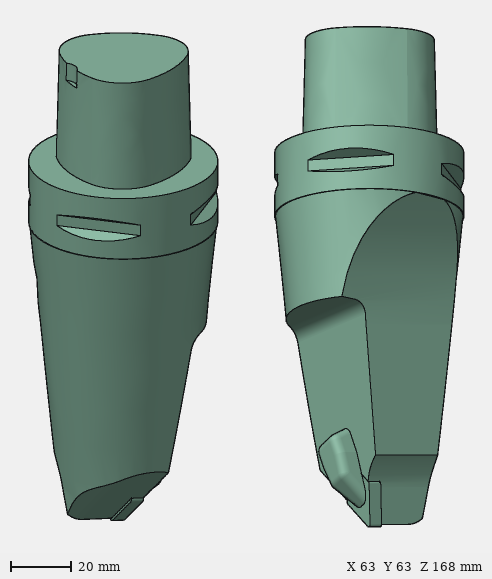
import cadquery as cq
import math


shank_height = 38.0
shank_flat_radius = 20.5
shank_lobe_radius = 23.6
shank_side_arc_radius = 38.8
shank_taper_angle = math.degrees(math.atan(1 / 40))
keyway_radius = 5.4
keyway_depth = 6.2
keyway_inner_y = -18.0

flange_diameter = 63.0
flange_height = 22.0
groove_center_z = -11.75
groove_floor_distance = 27.93
groove_floor_width = 3.8
groove_flare_angle = 30.0
groove_count = 4
groove_first_angle = 45.0

tip_z = -130.0
neck_top_radius = 31.2
neck_half_angle = 5.6
shoulder_z = -57.9
shoulder_fillet = 5.0
end_round_start = 16.0
end_round_radius = 12.0

tilt_angle = 10.0
twist_angle = 2.0
left_edge_angle = 12.5
insert_corner_angle = 55.0
insert_edge_length = 15.5
insert_thickness = 4.76
insert_nose_radius = 0.8
nose_center_u = 0.2
left_relief = 0.7
right_relief = 0.85

face_angle = 7.4
face_top = (-15.1, 65.4)
face_bottom_v = 22.2
tip_face_top_v = 12.8
clearance_arc_radius = 88.0
clearance_arc_sweep = 32.0

clamp_height = 7.3
clamp_front = 9.0
clamp_front_top = 18.5
clamp_shoulder = 26.0
clamp_back_top = 33.3
clamp_back = 36.2
clamp_half_width = 6.0
clamp_front_half_width = 3.5
clamp_edge_fillet = 2.9

reach = 100.0

tilt = math.radians(tilt_angle)
tip_plane = cq.Plane(
    origin=(0, 0, tip_z),
    xDir=(1, 0, 0),
    normal=(0, -math.cos(tilt), math.sin(tilt)),
).rotated((0, twist_angle, 0))


def polar(length, angle):
    """Point at a distance from the origin, the angle in degrees measured from +v toward +u."""
    return (length * math.sin(math.radians(angle)), length * math.cos(math.radians(angle)))


def add(point, offset):
    return (point[0] + offset[0], point[1] + offset[1])


right_edge_angle = insert_corner_angle - left_edge_angle
bisector_angle = (right_edge_angle - left_edge_angle) / 2
corner_to_nose_center = insert_nose_radius / math.sin(math.radians(insert_corner_angle / 2))
insert_corner = add((nose_center_u, insert_nose_radius), polar(-corner_to_nose_center, bisector_angle))


def make_shank():
    """Three shallow arcs joined tangentially by three lobe arcs, tapering upward."""
    side_center = shank_side_arc_radius - shank_flat_radius
    lobe_excess = shank_lobe_radius - shank_flat_radius
    lobe_center = lobe_excess * (2 * side_center - lobe_excess) / (side_center - 2 * lobe_excess)
    lobe_center_x = lobe_center * math.cos(math.radians(30))
    lobe_center_y = lobe_center / 2
    seam_angle = math.atan(lobe_center_x / (side_center + lobe_center_y))
    seam_x = shank_side_arc_radius * math.sin(seam_angle)
    seam_y = side_center - shank_side_arc_radius * math.cos(seam_angle)

    def turned(x, y, angle):
        a = math.radians(angle)
        return (x * math.cos(a) - y * math.sin(a), x * math.sin(a) + y * math.cos(a))

    outline = cq.Workplane("XY").moveTo(-seam_x, seam_y)
    for angle in (0, 120, 240):
        outline = outline.threePointArc(turned(0, -shank_flat_radius, angle), turned(seam_x, seam_y, angle))
        lobe_tip = turned(0, -shank_lobe_radius, angle + 60)
        outline = outline.threePointArc(lobe_tip, turned(-seam_x, seam_y, angle + 120))
    shank = outline.close().extrude(shank_height, taper=shank_taper_angle)
    keyway = (
        cq.Workplane("XY", origin=(0, keyway_inner_y - keyway_radius, shank_height - keyway_depth))
        .circle(keyway_radius)
        .extrude(keyway_depth)
    )
    return shank.cut(keyway)


def make_flange():
    """Disc with flared flat-bottomed grooves cut straight across its rim."""
    flange = cq.Workplane("XY").circle(flange_diameter / 2).extrude(-flange_height)
    depth = flange_diameter / 2 - groove_floor_distance
    half_floor = groove_floor_width / 2
    half_mouth = half_floor + depth * math.tan(math.radians(groove_flare_angle))
    groove = (
        cq.Workplane("XZ", origin=(0, 0, groove_center_z))
        .moveTo(groove_floor_distance, -half_floor)
        .lineTo(flange_diameter / 2, -half_mouth)
        .lineTo(flange_diameter / 2, half_mouth)
        .lineTo(groove_floor_distance, half_floor)
        .close()
        .extrude(flange_diameter / 2, both=True)
    )
    for i in range(groove_count):
        angle = groove_first_angle + i * 360 / groove_count
        flange = flange.cut(groove.rotate((0, 0, 0), (0, 0, 1), angle))
    return flange


def make_end_cutter():
    """Everything beyond the relief face under the right cutting edge, rounded off at its rear."""
    face_point = add(insert_corner, polar(right_relief, right_edge_angle - 90))
    a = math.radians(right_edge_angle)
    across_edge = cq.Plane(
        origin=tip_plane.toWorldCoords(face_point),
        xDir=tip_plane.zDir,
        normal=tip_plane.xDir * math.sin(a) + tip_plane.yDir * math.cos(a),
    )
    round_end = (end_round_start + end_round_radius, -end_round_radius)
    return (
        cq.Workplane(across_edge)
        .moveTo(-reach, 0)
        .lineTo(end_round_start, 0)
        .tangentArcPoint(round_end, relative=False)
        .lineTo(round_end[0], reach)
        .lineTo(-reach, reach)
        .close()
        .extrude(reach, both=True)
    )


def make_clearance_cutter():
    """Everything on the -X side of the clearance faces."""
    start = add(insert_corner, polar(left_relief, 90 - left_edge_angle))
    rise = (tip_face_top_v - start[1]) / math.cos(math.radians(left_edge_angle))
    tip_face_top = add(start, polar(rise, -left_edge_angle))
    face_drop = face_top[1] - face_bottom_v
    face_bottom = (face_top[0] + face_drop * math.tan(math.radians(face_angle)), face_bottom_v)
    arc_center = add(face_top, polar(-clearance_arc_radius, 90 - face_angle))
    arc_middle = add(arc_center, polar(clearance_arc_radius, 90 - face_angle - clearance_arc_sweep / 2))
    arc_end = add(arc_center, polar(clearance_arc_radius, 90 - face_angle - clearance_arc_sweep))
    return (
        cq.Workplane(tip_plane)
        .moveTo(*add(start, polar(-reach / 2, -left_edge_angle)))
        .lineTo(*tip_face_top)
        .tangentArcPoint(face_bottom, relative=False)
        .lineTo(*face_top)
        .threePointArc(arc_middle, arc_end)
        .lineTo(-reach, arc_end[1])
        .lineTo(-reach, -reach / 2)
        .close()
        .extrude(reach, both=True)
    )


def make_rake_cutter():
    """Space in front of the rake face, up to the filleted shoulder."""
    corner_y = (shoulder_z - tip_z) * math.tan(tilt)
    below_shoulder = (
        cq.Workplane("XY", origin=(0, 0, shoulder_z))
        .rect(2 * reach, 2 * reach)
        .extrude(-2 * reach)
    )
    return (
        cq.Workplane(tip_plane)
        .rect(2 * reach, 4 * reach)
        .extrude(-reach)
        .intersect(below_shoulder)
        .edges(cq.selectors.NearestToPointSelector((0, corner_y, shoulder_z)))
        .fillet(shoulder_fillet)
    )


def make_neck():
    """Cone cut back to the end relief, the side clearance and the rake face."""
    length = -tip_z - flange_height
    bottom_radius = neck_top_radius - length * math.tan(math.radians(neck_half_angle))
    cone = cq.Solid.makeCone(bottom_radius, neck_top_radius, length, cq.Vector(0, 0, tip_z))
    neck = cq.Workplane(cone).cut(make_end_cutter())
    return neck.cut(make_clearance_cutter()).cut(make_rake_cutter())


def make_clamp():
    """Tapered bar standing on the rake face, sloped at both ends and rounded on top."""
    plan = [
        (-clamp_front_half_width, clamp_front),
        (-clamp_half_width, clamp_shoulder),
        (-clamp_half_width, clamp_back),
        (clamp_half_width, clamp_back),
        (clamp_half_width, clamp_shoulder),
        (clamp_front_half_width, clamp_front),
    ]
    side = [
        (clamp_front, 0),
        (clamp_front_top, clamp_height),
        (clamp_back_top, clamp_height),
        (clamp_back, 0),
    ]
    bar = cq.Workplane("XY").polyline(plan).close().extrude(clamp_height)
    envelope = cq.Workplane("YZ").polyline(side).close().extrude(reach, both=True)
    clamp = bar.intersect(envelope).edges("not(|Z or <Z)").fillet(clamp_edge_fillet)
    a = math.radians(bisector_angle)
    seat = cq.Plane(
        origin=tip_plane.toWorldCoords(insert_corner),
        xDir=tip_plane.yDir * math.sin(a) - tip_plane.xDir * math.cos(a),
        normal=tip_plane.zDir * -1,
    )
    return clamp.val().located(seat.location)


def make_insert():
    """Rhombic cutting insert, flush with the rake face."""
    right_corner = add(insert_corner, polar(insert_edge_length, right_edge_angle))
    left_corner = add(insert_corner, polar(insert_edge_length, -left_edge_angle))
    far_corner = add(right_corner, polar(insert_edge_length, -left_edge_angle))
    return (
        cq.Workplane(tip_plane)
        .polyline([insert_corner, right_corner, far_corner, left_corner])
        .close()
        .extrude(insert_thickness)
        .edges(cq.selectors.ParallelDirSelector(tip_plane.zDir))
        .fillet(insert_nose_radius)
    )


insert = make_insert()
holder = make_shank().union(make_flange()).union(make_neck()).cut(insert).union(make_clamp())

result = cq.Compound.makeCompound([holder.solids().val(), insert.val()])